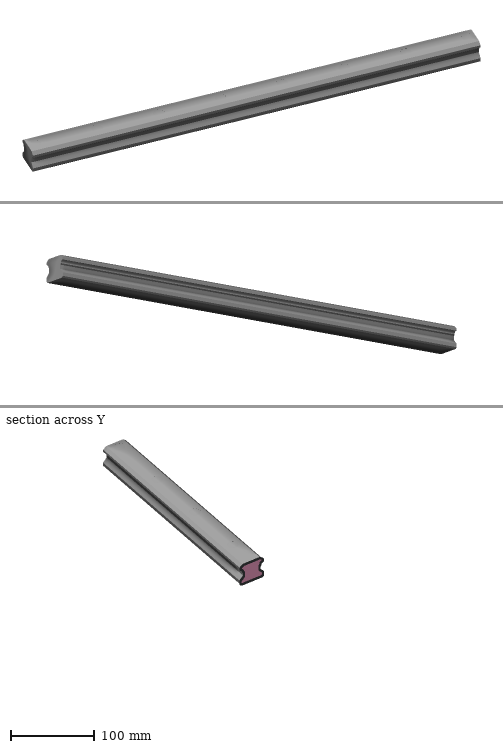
import cadquery as cq

length = 580.0
width = 34.0
height = 29.0
half_width = width / 2

foot_chamfer = 1.8
foot_top = 6.3

neck_half_width = 11.6
neck_bottom = 11.7
neck_top = 17.0

groove_bottom_half_width = 13.2
groove_bottom = 18.5
groove_middle_half_width = 13.8
groove_middle = 21.1

head_half_width = 16.7
head_bottom = 22.3
head_top = 25.4
top_half_width = 12.5

cap_diameter = 14.0
cap_recess = 0.1
cap_pitch = 80.0
cap_count = 8


def rail_body():
    """Rail section, drawn as its right half and mirrored, extruded along Y."""
    half_section = (
        cq.Workplane("XZ")
        .moveTo(0, 0)
        .lineTo(half_width - foot_chamfer, 0)
        .lineTo(half_width, foot_chamfer)
        .lineTo(half_width, foot_top)
        .lineTo(neck_half_width, neck_bottom)
        .lineTo(neck_half_width, neck_top)
        .lineTo(groove_bottom_half_width, groove_bottom)
        .threePointArc((groove_middle_half_width, groove_middle), (head_half_width, head_bottom))
        .lineTo(head_half_width, head_top)
        .lineTo(top_half_width, height)
        .lineTo(0, height)
    )
    return half_section.mirrorY().extrude(length / 2, both=True)


def cap_recesses():
    """Shallow round recesses, centred on the rail, that leave each cap just below the top."""
    return (
        cq.Workplane("XY", origin=(0, 0, height - cap_recess))
        .rarray(1, cap_pitch, 1, cap_count)
        .circle(cap_diameter / 2)
        .extrude(cap_recess)
    )


result = rail_body().cut(cap_recesses())